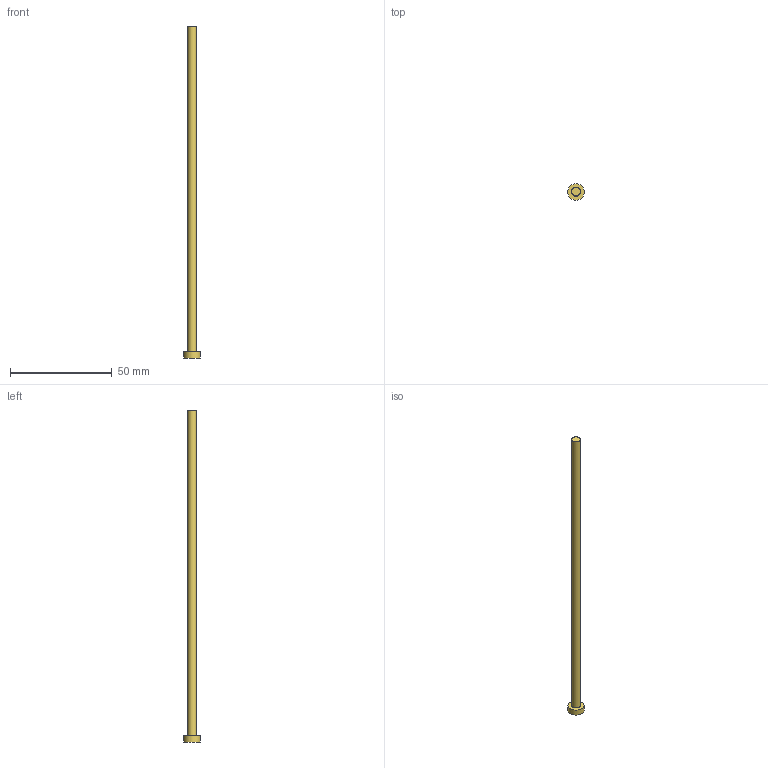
import cadquery as cq

head_diameter = 8.0
head_thickness = 3.0
shank_diameter = 4.2
shank_length = 160.0


def make_head():
    """Disc head, with its upper face at Z = 0."""
    return cq.Workplane("XY").circle(head_diameter / 2).extrude(-head_thickness)


def make_shank():
    """Round shank rising from the upper face of the head."""
    return cq.Workplane("XY").circle(shank_diameter / 2).extrude(shank_length)


result = make_head().union(make_shank())